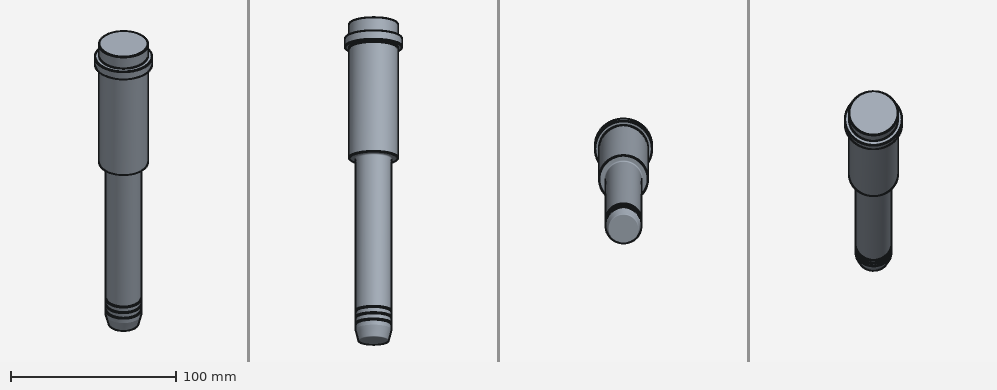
import cadquery as cq

total_height = 200.0
body_radius = 15.0
body_bottom = 115.0
body_chamfer = 0.5
top_chamfer = 0.5
rod_radius = 11.0

collar_radius = 35.0 / 2
collar_bottom = 185.0
collar_top = 191.0
collar_chamfer = 0.5

upper_relief_height = 0.5
upper_relief_depth = 0.5
root_fillet = 0.8

tip_radius = 9.2
tip_height = 7.0
tip_fillet = 0.5

groove_depth = 0.5
groove_half_width = 0.5
groove_count = 3
groove_pitch = 4.0
first_groove_bottom = 10.0
first_groove_height = first_groove_bottom + groove_half_width
relief_height = collar_bottom - groove_half_width


def make_profile():
    """Half section of the shaft, with X as the radius and Y as the height."""
    return (
        cq.Workplane("XZ")
        .lineTo(tip_radius, 0)
        .lineTo(rod_radius, tip_height)
        .lineTo(rod_radius, body_bottom - root_fillet)
        .radiusArc((rod_radius + root_fillet, body_bottom), root_fillet)
        .lineTo(body_radius - body_chamfer, body_bottom)
        .lineTo(body_radius, body_bottom + body_chamfer)
        .lineTo(body_radius, collar_bottom)
        .lineTo(collar_radius - collar_chamfer, collar_bottom)
        .lineTo(collar_radius, collar_bottom + collar_chamfer)
        .lineTo(collar_radius, collar_top - collar_chamfer)
        .lineTo(collar_radius - collar_chamfer, collar_top)
        .lineTo(body_radius - upper_relief_depth, collar_top)
        .lineTo(body_radius - upper_relief_depth, collar_top + upper_relief_height)
        .lineTo(body_radius, collar_top + upper_relief_height)
        .lineTo(body_radius, total_height - top_chamfer)
        .lineTo(body_radius - top_chamfer, total_height)
        .lineTo(0, total_height)
        .close()
    )


def make_groove(surface_radius, height):
    """V-shaped ring to cut from a cylinder, with its deepest line at the given height."""
    return (
        cq.Workplane("XZ")
        .moveTo(surface_radius - groove_depth, height)
        .lineTo(surface_radius, height + groove_half_width)
        .lineTo(surface_radius + groove_depth, height + groove_half_width)
        .lineTo(surface_radius + groove_depth, height - groove_half_width)
        .lineTo(surface_radius, height - groove_half_width)
        .close()
        .revolve(360, (0, 0, 0), (0, 1, 0))
    )


def make_shaft():
    shaft = make_profile().revolve(360, (0, 0, 0), (0, 1, 0))
    return shaft.faces("<Z").edges().fillet(tip_fillet)


result = make_shaft().cut(make_groove(body_radius, relief_height))
for index in range(groove_count):
    result = result.cut(make_groove(rod_radius, first_groove_height + index * groove_pitch))